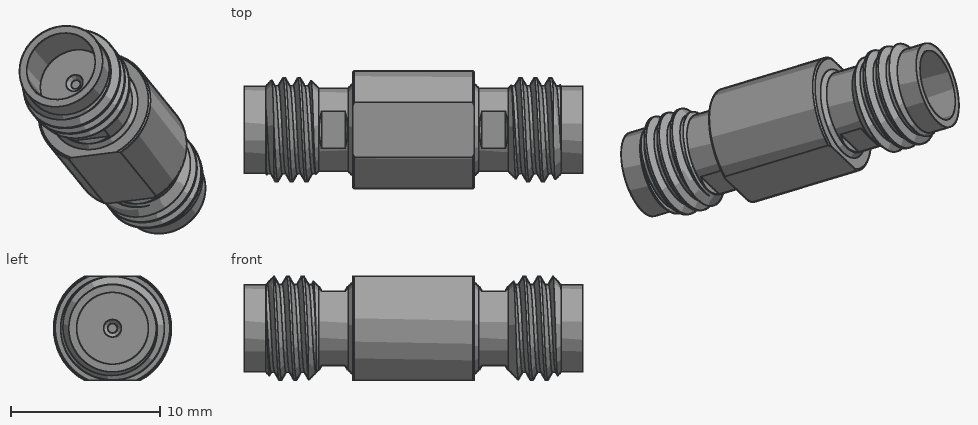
import cadquery as cq
import math

LENGTH = 22.7
END_X = LENGTH / 2

BODY_HALF_LENGTH = 4.09
BODY_RADIUS = 3.95
BODY_FLAT_HEIGHT = 3.5
BODY_CHAMFER = 0.11

NOSE_RADIUS = 2.93
NECK_RADIUS = 2.8
NECK_START_X = 4.38
NECK_END_X = 6.35
THREAD_END_X = 9.9
COLLAR_RADIUS = NECK_RADIUS + (NECK_START_X - BODY_HALF_LENGTH)

NECK_FLAT_HEIGHT = 2.5
NECK_FLAT_START_X = 4.59
NECK_FLAT_END_X = 6.15
NECK_FLAT_WALL_ANGLE = 30.0
NECK_CUT_TOP = 2.95

THREAD_RADIUS = 3.47
ROOT_RADIUS = 2.95
BLANK_RADIUS = 3.63
PITCH = 1.0
CREST_WIDTH = 0.15
FLANK_ANGLE = 30.0
TOP_CREST_X = -8.42
LEAD_IN_TURNS = 3
HELIX_TURNS = 5.5
RIDGE_SINK = 0.1

BORE_RADIUS = 2.4
BORE_DEPTH = 3.0
SOCKET_MOUTH_RADIUS = 0.6
SOCKET_RADIUS = 0.32
SOCKET_DEPTH = SOCKET_MOUTH_RADIUS - SOCKET_RADIUS


def revolve_about_x(points):
    """Turn an outline of (x, radius) points about the X axis."""
    return cq.Workplane("XY").polyline(points).close().revolve(360, (0, 0, 0), (1, 0, 0))


def make_central_body():
    bar = (
        cq.Workplane("YZ")
        .circle(BODY_RADIUS)
        .extrude(BODY_HALF_LENGTH, both=True)
        .faces("<X or >X")
        .chamfer(BODY_CHAMFER)
    )
    between_flats = cq.Workplane("XY").box(LENGTH, 2 * BODY_RADIUS, 2 * BODY_FLAT_HEIGHT)
    return bar.intersect(between_flats)


def make_connector_envelope():
    """Outside of the left connector, with an uncut thread blank that ends in 45 degree cones."""
    inner_cone = BLANK_RADIUS - NECK_RADIUS
    outer_cone = BLANK_RADIUS - NOSE_RADIUS
    return revolve_about_x([
        (-BODY_HALF_LENGTH, 0),
        (-BODY_HALF_LENGTH, COLLAR_RADIUS),
        (-NECK_START_X, NECK_RADIUS),
        (-NECK_END_X, NECK_RADIUS),
        (-NECK_END_X - inner_cone, BLANK_RADIUS),
        (-THREAD_END_X + outer_cone, BLANK_RADIUS),
        (-THREAD_END_X, NOSE_RADIUS),
        (-END_X, NOSE_RADIUS),
        (-END_X, 0),
    ])


def make_thread_core():
    """Stepped rod: thread root radius under the thread, wide enough for the collar beside the body."""
    step_x = (NECK_START_X + NECK_END_X) / 2
    return revolve_about_x([
        (-BODY_HALF_LENGTH, 0),
        (-BODY_HALF_LENGTH, BLANK_RADIUS),
        (-step_x, BLANK_RADIUS),
        (-step_x, ROOT_RADIUS),
        (-END_X, ROOT_RADIUS),
        (-END_X, 0),
    ])


def make_thread_ridge():
    """Right-hand helical ridge that runs past both ends of the thread."""
    foot_radius = ROOT_RADIUS - RIDGE_SINK
    half_crest = CREST_WIDTH / 2
    half_foot = half_crest + (THREAD_RADIUS - foot_radius) * math.tan(math.radians(FLANK_ANGLE))
    start_x = TOP_CREST_X - LEAD_IN_TURNS * PITCH

    helix = cq.Wire.makeHelix(
        PITCH, HELIX_TURNS * PITCH, foot_radius, cq.Vector(start_x, 0, 0), cq.Vector(1, 0, 0)
    )
    return (
        cq.Workplane("XZ")
        .polyline([
            (start_x - half_foot, foot_radius),
            (start_x - half_crest, THREAD_RADIUS),
            (start_x + half_crest, THREAD_RADIUS),
            (start_x + half_foot, foot_radius),
        ])
        .close()
        .sweep(cq.Workplane(helix), isFrenet=True)
    )


def make_neck_flat_cut():
    """Prism with sloping ends that cuts the flat on top of the neck."""
    wall_run = (NECK_CUT_TOP - NECK_FLAT_HEIGHT) * math.tan(math.radians(NECK_FLAT_WALL_ANGLE))
    return (
        cq.Workplane("XZ")
        .polyline([
            (-NECK_FLAT_START_X + wall_run, NECK_CUT_TOP),
            (-NECK_FLAT_START_X, NECK_FLAT_HEIGHT),
            (-NECK_FLAT_END_X, NECK_FLAT_HEIGHT),
            (-NECK_FLAT_END_X - wall_run, NECK_CUT_TOP),
        ])
        .close()
        .extrude(NECK_RADIUS, both=True)
    )


def make_bore():
    """Open bore with a countersunk contact socket in its floor."""
    floor_x = -END_X + BORE_DEPTH
    return revolve_about_x([
        (-END_X, 0),
        (-END_X, BORE_RADIUS),
        (floor_x, BORE_RADIUS),
        (floor_x, SOCKET_MOUTH_RADIUS),
        (floor_x + SOCKET_DEPTH, SOCKET_RADIUS),
        (floor_x + SOCKET_DEPTH, 0),
    ])


def make_connector():
    """The connector on the -X end of the coupling."""
    top_cut = make_neck_flat_cut()
    bottom_cut = top_cut.mirror("XY")
    return (
        make_thread_core()
        .union(make_thread_ridge())
        .intersect(make_connector_envelope())
        .cut(top_cut)
        .cut(bottom_cut)
        .cut(make_bore())
    )


central_body = make_central_body().solids().val()

connectors = []
for turn in (0, 180):
    connector = make_connector().rotate((0, 0, 0), (0, 0, 1), turn)
    connectors.append(connector.solids().val())

result = cq.Compound.makeCompound([central_body, *connectors])